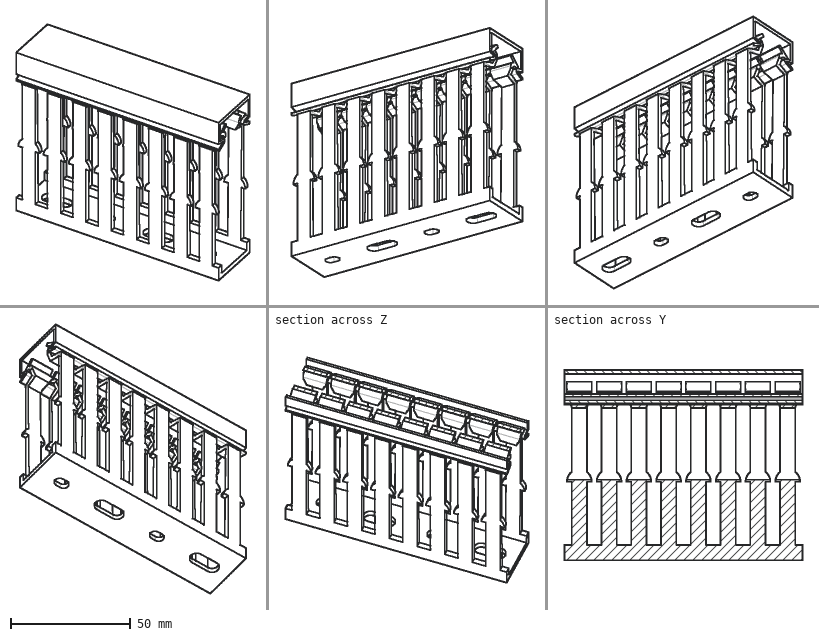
import cadquery as cq
import math

length = 100.0
width = 25.0
height = 80.0

floor_thickness = 2.5
wall_foot_thickness = 2.5
wall_top_thickness = 1.7

finger_count = 8
finger_pitch = length / finger_count
finger_width = 6.5
finger_foot_z = 6.5

head_gap = 2.0
head_width = finger_pitch - head_gap
ear_radius = head_width / 2
ear_base_z = 33.0
flare_arc_start_z = 64.2
flare_arc_height = 0.7
flare_end_z = 68.8

latch_depth = 7.4
latch_gap_depth = 5.6
latch_slope = 0.27
shelf_outer_z = 65.0
latch_under_z = 63.8

floor_slot_count = 4
large_slot_size = (14.0, 6.0)
small_slot_size = (6.5, 4.5)

cover_top_thickness = 1.8
cover_wall_thickness = 1.4

lip_thickness = 1.2
lip_shelf_angle = math.radians(13)
lip_leg_angle = math.radians(24.5)
lip_tip_radius = 0.65
fold_depth = 3.6
fold_z = 68.1
fold_inner_radius = 0.1


def extrude_along_x(section):
    """Extrude a closed Y-Z section over the whole length."""
    return section.close().extrude(length)


def both_sides(solid):
    """Return the solid joined with its mirror image on the other side of the duct."""
    mirrored = solid.mirror("XZ", (0, width / 2, 0))
    return solid.union(mirrored)


def side_wall():
    """Front wall with its latch, before the slots between the fingers are cut."""
    latch_under_end_z = latch_under_z + latch_slope * (latch_depth - wall_top_thickness)
    shelf_inner_z = shelf_outer_z + latch_slope * latch_gap_depth
    section = (
        cq.Workplane("YZ")
        .moveTo(0, 0)
        .lineTo(wall_foot_thickness, 0)
        .lineTo(wall_foot_thickness, floor_thickness)
        .lineTo(wall_top_thickness, latch_under_z)
        .lineTo(latch_depth, latch_under_end_z)
        .lineTo(latch_depth, 69.7)
        .threePointArc((6.8, 71.0), (5.3, 71.8))
        .lineTo(7.8, 74.1)
        .threePointArc((7.4, 74.8), (6.7, 75.1))
        .lineTo(1.7, 70.9)
        .lineTo(2.6, 70.2)
        .lineTo(4.6, 70.2)
        .threePointArc((5.3, 69.9), (latch_gap_depth, 69.2))
        .lineTo(latch_gap_depth, shelf_inner_z)
        .lineTo(0, shelf_outer_z)
    )
    return extrude_along_x(section)


def finger_outline(center_x):
    """Block through the full width with the front outline of one finger and its ears."""
    half_finger = finger_width / 2
    half_head = head_width / 2
    rise = flare_end_z - flare_arc_start_z
    flare_angle = math.atan((half_head - half_finger) / (rise - flare_arc_height / 2))
    arc_radius = flare_arc_height / math.sin(flare_angle)

    def arc_point(angle):
        offset = half_finger + arc_radius * (1 - math.cos(angle))
        return offset, flare_arc_start_z + arc_radius * math.sin(angle)

    arc_mid_x, arc_mid_z = arc_point(flare_angle / 2)
    arc_end_x, arc_end_z = arc_point(flare_angle)
    bar = (
        cq.Workplane("XZ", origin=(center_x, 0, 0))
        .moveTo(-half_finger, 0)
        .lineTo(half_finger, 0)
        .lineTo(half_finger, flare_arc_start_z)
        .threePointArc((arc_mid_x, arc_mid_z), (arc_end_x, arc_end_z))
        .lineTo(half_head, flare_end_z)
        .lineTo(half_head, height)
        .lineTo(-half_head, height)
        .lineTo(-half_head, flare_end_z)
        .lineTo(-arc_end_x, arc_end_z)
        .threePointArc((-arc_mid_x, arc_mid_z), (-half_finger, flare_arc_start_z))
        .close()
        .extrude(-width)
    )
    ears = (
        cq.Workplane("XZ", origin=(center_x, 0, ear_base_z))
        .moveTo(-ear_radius, 0)
        .threePointArc((0, ear_radius), (ear_radius, 0))
        .close()
        .extrude(-width)
    )
    return bar.union(ears)


def floor_slot(center_x, slot_length, slot_width):
    """Cutter for one round-ended mounting slot."""
    return (
        cq.Workplane("XY", origin=(center_x, width / 2, 0))
        .slot2D(slot_length, slot_width)
        .extrude(floor_thickness)
    )


def make_trunking():
    """Floor and two slotted side walls in one piece."""
    keep = cq.Workplane("XY").box(length, width, finger_foot_z, centered=False)
    for index in range(finger_count):
        keep = keep.union(finger_outline((index + 0.5) * finger_pitch))
    floor = cq.Workplane("XY").box(length, width, floor_thickness, centered=False)
    trunking = both_sides(side_wall()).intersect(keep).union(floor)
    slot_pitch = length / floor_slot_count
    for index in range(floor_slot_count):
        slot_size = large_slot_size if index % 2 == 0 else small_slot_size
        trunking = trunking.cut(floor_slot((index + 0.5) * slot_pitch, *slot_size))
    return trunking


def fold_point(radius, angle):
    """Depth and height of a point around the center of the lip fold."""
    return fold_depth + radius * math.cos(angle), fold_z + radius * math.sin(angle)


def shelf_height(radius, depth):
    """Height, at a given depth, of the shelf surface that runs tangent into a fold arc."""
    tangent_depth, tangent_z = fold_point(radius, math.pi / 2 - lip_shelf_angle)
    return tangent_z + (tangent_depth - depth) * math.tan(lip_shelf_angle)


def cover_half_section():
    """Y-Z outline of the front half of the cover, from the middle of the top to the lip."""
    fold_outer_radius = fold_inner_radius + lip_thickness

    shelf_normal = math.pi / 2 - lip_shelf_angle
    leg_normal = lip_leg_angle - math.pi / 2
    mid_normal = (shelf_normal + leg_normal) / 2

    tip_depth = lip_tip_radius
    tip_line_depth, tip_line_z = fold_point(fold_outer_radius - lip_tip_radius, leg_normal)
    tip_z = tip_line_z - (tip_line_depth - tip_depth) * math.tan(lip_leg_angle)

    def tip_point(angle):
        return (
            tip_depth + lip_tip_radius * math.cos(angle),
            tip_z + lip_tip_radius * math.sin(angle),
        )

    corner_rise = math.asin((lip_thickness - lip_tip_radius) / lip_tip_radius)
    tip_corner_angle = math.pi + lip_leg_angle - corner_rise

    return (
        cq.Workplane("YZ")
        .moveTo(width / 2, height)
        .lineTo(0, height)
        .lineTo(0, shelf_height(fold_inner_radius, 0))
        .lineTo(*fold_point(fold_inner_radius, shelf_normal))
        .threePointArc(
            fold_point(fold_inner_radius, mid_normal),
            fold_point(fold_inner_radius, leg_normal),
        )
        .lineTo(*tip_point(tip_corner_angle))
        .threePointArc(
            tip_point((tip_corner_angle + leg_normal + 2 * math.pi) / 2),
            tip_point(leg_normal),
        )
        .lineTo(*fold_point(fold_outer_radius, leg_normal))
        .threePointArc(
            fold_point(fold_outer_radius, mid_normal),
            fold_point(fold_outer_radius, shelf_normal),
        )
        .lineTo(cover_wall_thickness, shelf_height(fold_outer_radius, cover_wall_thickness))
        .lineTo(cover_wall_thickness, height - cover_top_thickness)
        .lineTo(width / 2, height - cover_top_thickness)
    )


def make_cover():
    """Flat top, two short walls and the two folded lips in one piece."""
    return both_sides(extrude_along_x(cover_half_section())).clean()


trunking = make_trunking()
cover = make_cover()

result = cq.Compound.makeCompound([trunking.solids().val(), cover.solids().val()])